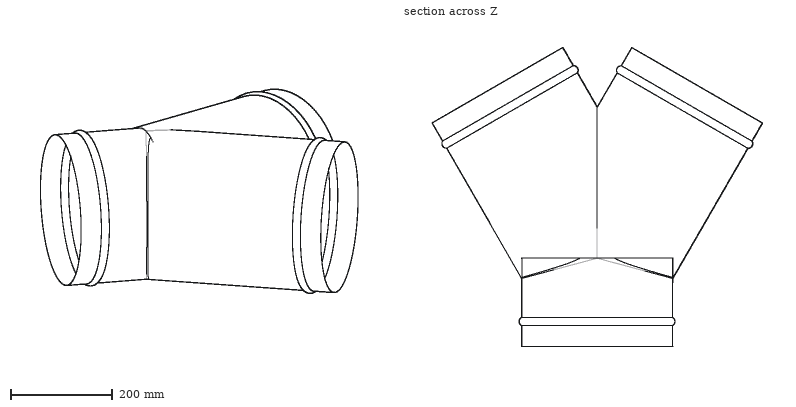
import cadquery as cq
import math

overall_width = 655.0
overall_length = 592.0
outer_diameter = 300.0
inner_diameter = 298.0
branch_angle = 30.0
bead_diameter = 310.0
bead_width = 16.5
bead_setback = 50.0

outer_radius = outer_diameter / 2
inner_radius = inner_diameter / 2
bead_height = bead_diameter / 2 - outer_radius
sin_branch = math.sin(math.radians(branch_angle))
cos_branch = math.cos(math.radians(branch_angle))
branch_length = (overall_width / 2 - outer_radius * cos_branch) / sin_branch
branch_reach = branch_length * cos_branch + outer_radius * sin_branch
inlet_length = overall_length - branch_reach


def beaded_pipe(radius, length, heading):
    """Solid pipe shape from the origin, turned by heading degrees clockwise from +Y."""
    bead_middle = length - bead_setback
    half_width = bead_width / 2
    profile = (
        cq.Workplane("XY")
        .lineTo(radius, 0)
        .lineTo(radius, bead_middle - half_width)
        .threePointArc(
            (radius + bead_height, bead_middle),
            (radius, bead_middle + half_width),
        )
        .lineTo(radius, length)
        .lineTo(0, length)
        .close()
    )
    pipe = profile.revolve(360, (0, 0, 0), (0, 1, 0))
    return pipe.rotate((0, 0, 0), (0, 0, 1), -heading)


def wye(radius):
    """Inlet along -Y joined to two branches on either side of +Y."""
    body = beaded_pipe(radius, inlet_length, 180)
    for heading in (-branch_angle, branch_angle):
        body = body.union(beaded_pipe(radius, branch_length, heading))
    return body


shell = wye(outer_radius).cut(wye(inner_radius))

inlet_outer = beaded_pipe(outer_radius, inlet_length, 180)
inlet_wall = inlet_outer.cut(beaded_pipe(inner_radius, inlet_length, 180))
result = shell.union(inlet_wall)